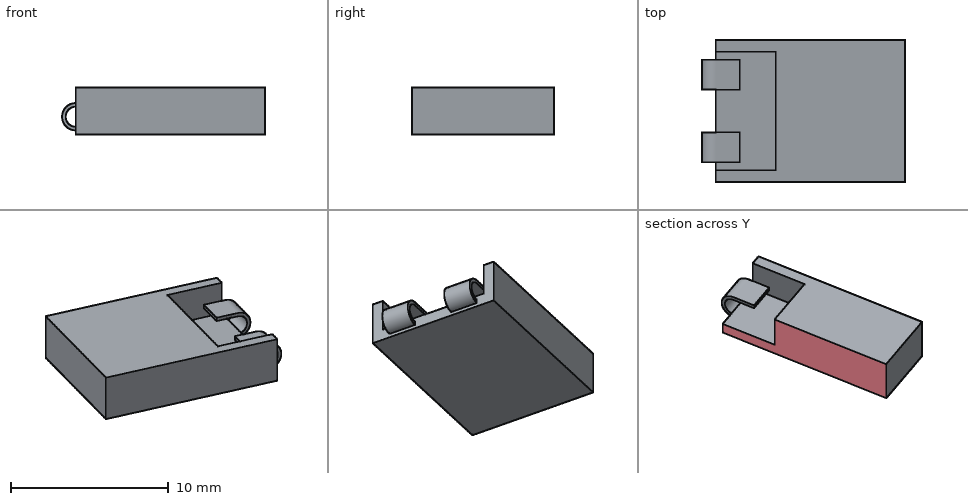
import cadquery as cq

overall_length = 12.86
housing_width = 9.0
housing_height = 3.0

bend_radius = 0.87
clip_thickness = 0.25
clip_width = 1.9
clip_spacing = 4.6
tongue_length = 1.5
clip_bottom_z = 0.26

pocket_length = 3.81
pocket_wall = 0.75
pocket_floor_z = 0.8

housing_length = overall_length - bend_radius
pocket_width = housing_width - 2 * pocket_wall
inner_radius = bend_radius - clip_thickness
bend_center_z = clip_bottom_z + bend_radius


def make_housing():
    """Rectangular block with a pocket at its front end."""
    block = cq.Workplane("XY").box(
        housing_length, housing_width, housing_height, centered=(False, True, False)
    )
    pocket = (
        cq.Workplane("XY")
        .workplane(offset=pocket_floor_z)
        .box(pocket_length, pocket_width, housing_height - pocket_floor_z, centered=(False, True, False))
    )
    return block.cut(pocket)


def make_clip(center_y):
    """Bent strip whose lower end meets the front face and whose tongue reaches over the pocket floor."""
    top_z = bend_center_z + bend_radius
    inner_top_z = bend_center_z + inner_radius
    inner_bottom_z = bend_center_z - inner_radius
    return (
        cq.Workplane("XZ", origin=(0, center_y, 0))
        .moveTo(tongue_length, top_z)
        .lineTo(0, top_z)
        .threePointArc((-bend_radius, bend_center_z), (0, clip_bottom_z))
        .lineTo(0, inner_bottom_z)
        .threePointArc((-inner_radius, bend_center_z), (0, inner_top_z))
        .lineTo(tongue_length, inner_top_z)
        .close()
        .extrude(clip_width / 2, both=True)
    )


housing = make_housing()
clips = [make_clip(side * clip_spacing / 2) for side in (-1, 1)]

result = cq.Compound.makeCompound([housing.val(), *[clip.val() for clip in clips]])